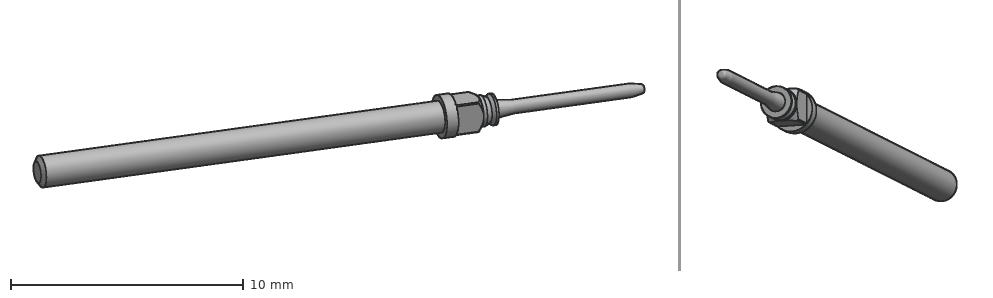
import cadquery as cq

overall_length = 27.9
tip_y = overall_length / 2

tip_radius = 0.2
pin_radius = 0.3
neck_end_radius = 0.42
ridge_radius = 0.7
groove_radius = 0.59
relief_radius = 0.67
collar_radius = 0.95
barrel_radius = 0.7
end_face_radius = 0.47

tip_rounding = 0.15

pin_start = 0.6
neck_start = 6.03
disc_start = 6.92
disc_thickness = 0.1
groove_start = 7.2
ridge_peak = 7.45
square_start = 7.62
collar_start = 8.87
collar_length = 0.53
end_chamfer = 0.17
square_chamfer = 0.22

square_width = 2 * ridge_radius


def revolve_profile(stations):
    """Solid of revolution about Y from (radius, distance from the tip) stations."""
    profile = [(radius, tip_y - distance) for radius, distance in stations]
    first_y = profile[0][1]
    last_y = profile[-1][1]
    outline = [(0, first_y)] + profile + [(0, last_y)]
    return cq.Workplane("XY").polyline(outline).close().revolve(360, (0, 0, 0), (0, 1, 0))


def plunger():
    """Rounded pin, tapered neck, thin disc, and the V groove and ridge behind it."""
    turned = revolve_profile([
        (tip_radius, 0),
        (pin_radius, pin_start),
        (pin_radius, neck_start),
        (neck_end_radius, disc_start),
        (ridge_radius, disc_start),
        (ridge_radius, disc_start + disc_thickness),
        (groove_radius, groove_start),
        (ridge_radius, ridge_peak),
        (relief_radius, square_start),
        (relief_radius, collar_start),
    ])
    return turned.edges(">Y").fillet(tip_rounding)


def square_section():
    """Square body trimmed by a cylinder whose tip end is coned."""
    length = collar_start - square_start
    square = (
        cq.Workplane("XY")
        .box(square_width, length, square_width)
        .translate((0, tip_y - square_start - length / 2, 0))
    )
    envelope = revolve_profile([
        (ridge_radius, square_start),
        (collar_radius, square_start + square_chamfer),
        (collar_radius, collar_start),
    ])
    return square.intersect(envelope)


def collar_and_barrel():
    """Stop collar followed by the long barrel with a bevelled end."""
    collar_end = collar_start + collar_length
    return revolve_profile([
        (collar_radius, collar_start),
        (collar_radius, collar_end),
        (barrel_radius, collar_end),
        (barrel_radius, overall_length - end_chamfer),
        (end_face_radius, overall_length),
    ])


result = plunger().union(square_section()).union(collar_and_barrel())